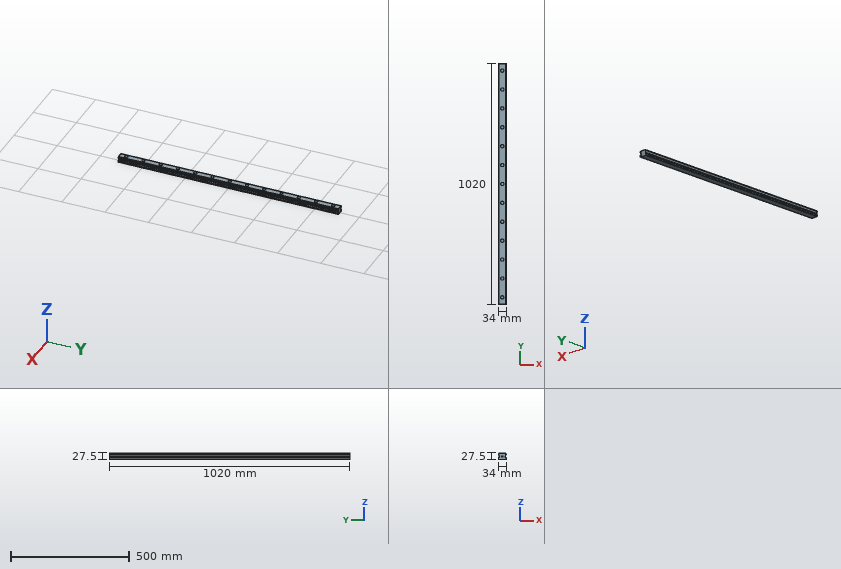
import cadquery as cq

rail_width = 34.0
rail_length = 1020.0
rail_height = 27.5
half_width = rail_width / 2
front_end_y = -rail_length / 2
back_end_y = rail_length / 2

base_chamfer = 1.9
base_side_top = 7.5
waist_half_width = 13.4
slope_top = base_side_top + half_width - waist_half_width

waist_top = 15.0
groove_bottom_half_width = 14.4
groove_bottom = 17.5
groove_top = 22.0
side_groove_radius = 5.5

head_side_top = 23.4
corner_groove_radius = 3.0
corner_groove_half_width = 14.2
corner_groove_top = 26.2
top_half_width = 13.1

cap_count = 13
cap_pitch = 80.0
cap_diameter = 14.0
cap_recess = 0.1

end_hole_diameter = 6.0
end_hole_depth = 10.0
end_hole_height = rail_height / 2


def rail_body():
    """Extrude the right half of the cross-section along Y and mirror it across the YZ plane."""
    right_half = (
        cq.Workplane("XZ", origin=(0, back_end_y, 0))
        .moveTo(0, 0)
        .lineTo(half_width - base_chamfer, 0)
        .lineTo(half_width, base_chamfer)
        .lineTo(half_width, base_side_top)
        .lineTo(waist_half_width, slope_top)
        .lineTo(waist_half_width, waist_top)
        .lineTo(groove_bottom_half_width, groove_bottom)
        .radiusArc((half_width, groove_top), side_groove_radius)
        .lineTo(half_width, head_side_top)
        .radiusArc((corner_groove_half_width, corner_groove_top), corner_groove_radius)
        .lineTo(top_half_width, rail_height)
        .lineTo(0, rail_height)
        .close()
        .extrude(rail_length)
    )
    return right_half.union(right_half.mirror("YZ"), clean=True)


def cap_recesses():
    """Row of shallow discs along the centreline of the top face."""
    return (
        cq.Workplane("XY", origin=(0, 0, rail_height - cap_recess))
        .rarray(1, cap_pitch, 1, cap_count)
        .circle(cap_diameter / 2)
        .extrude(cap_recess)
    )


def end_hole():
    """Blind cylinder running from the front end face towards +Y."""
    return (
        cq.Workplane("XZ", origin=(0, front_end_y, end_hole_height))
        .circle(end_hole_diameter / 2)
        .extrude(-end_hole_depth)
    )


result = rail_body().cut(cap_recesses()).cut(end_hole())